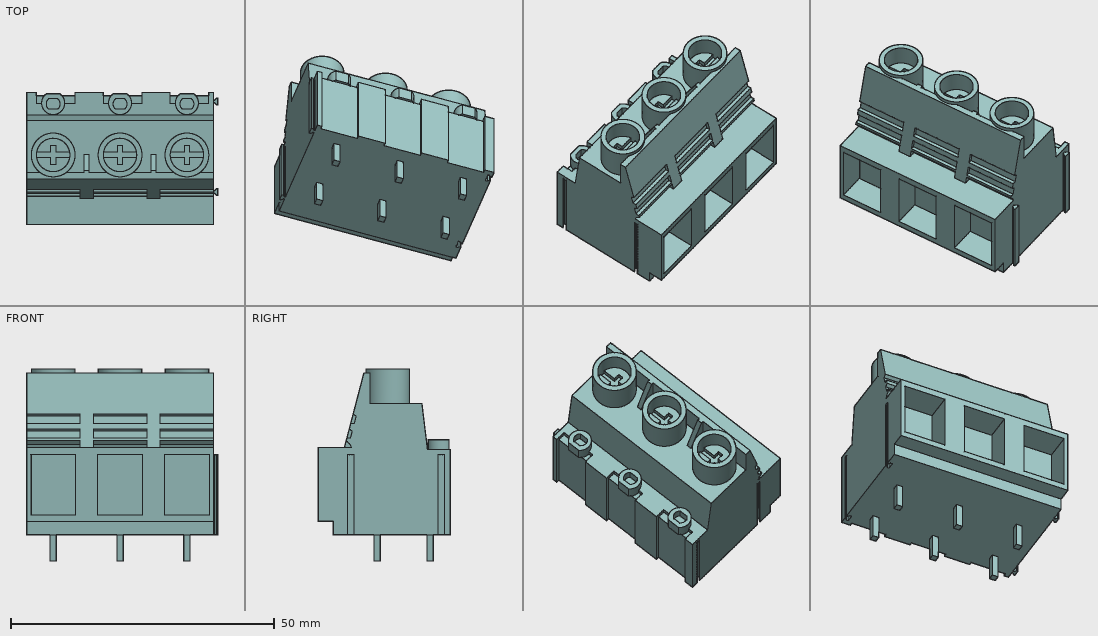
import cadquery as cq


POLE_COUNT = 3
POLE_PITCH = 12.7
POLE_XS = [(i - (POLE_COUNT - 1) / 2) * POLE_PITCH for i in range(POLE_COUNT)]
GAP_XS = [x + POLE_PITCH / 2 for x in POLE_XS[:-1]]

WIDTH = 35.5
DEPTH = 25.08
SIDE_X = WIDTH / 2
STEP_DEPTH = 2.85
STEP_HEIGHT = 2.55
FRONT_SHELF_Z = 16.6
RAMP_FOOT_Y = 4.95
WALL_TOP_Z = 30.75
WALL_FRONT_Y = 8.65
WALL_BACK_Y = 9.85
TOWER_Z = 24.93
TOWER_BACK_Y = 19.7
LEDGE_Z = 16.2
LEDGE_FRONT_Y = 20.77

WINDOW_WIDTH = 8.5
WINDOW_BOTTOM_Z = 3.8
WINDOW_TOP_Z = 15.22
WINDOW_DEPTH = 5.35

GROOVE_WIDTH = 10.15
GROOVE_DEPTH = 0.7
GROOVE_LIP_DROP = 0.45
GROOVE_SPANS = [(21.15, 22.95), (18.35, 20.1)]
FOOT_GROOVE_TOP_Z = 17.9
FOOT_GROOVE_BEND_Y = 6.05
FOOT_GROOVE_BEND_Z = 17.15
FOOT_GROOVE_BACK_Y = 6.28

TUBE_Y = 13.2
TUBE_RADIUS = 4.15
TUBE_TOP_Z = 31.5
BORE_RADIUS = 3.18

GUSSET_WIDTH = 1.0
GUSSET_TOP_DEPTH = 0.45
GUSSET_FOOT_Y = 13.3

RECESS_WIDTH = 7.3
RECESS_OFFSET = 0.47
RECESS_FRONT_Y = 23.0
RECESS_FLOOR_Z = 15.33
NOTCH_FRONT_Y = 24.45
BOSS_Y = 23.05
BOSS_RADIUS = 2.2
BOSS_FLAT_Y = 24.85
BOSS_TOP_Z = 18.05
TEST_HOLE_Y = 22.9
TEST_HOLE_RADIUS = 1.3
TEST_HOLE_FLATS_Y = (21.95, 23.95)

KEY_YS = [6.17, 23.35]
KEY_HEIGHT = 15.22
KEY_NECK_LENGTH = 0.2
KEY_FLARE = 0.35
KEY_TIP_LENGTH = 0.3
KEY_NECK_WIDTH = 0.55
KEYWAY_CLEARANCE = 0.07

SCREW_RECESS = 4.0
SCREW_TOP_Z = TUBE_TOP_Z - SCREW_RECESS
SCREW_BOTTOM_Z = TOWER_Z
SLOT_WIDTH = 1.05
CROSS_WIDTH = 1.0
CROSS_LENGTH = 3.55
SLOT_DEPTH = 1.0

PIN_YS = [11.17, 21.25]
PIN_SIDE = 1.25
PIN_LENGTH = 5.0


def box(x_center, width, y_range, z_range):
    """Box centred on x_center that spans the given Y and Z ranges."""
    y0, y1 = y_range
    z0, z1 = z_range
    return cq.Workplane("XY").box(width, y1 - y0, z1 - z0, centered=(True, False, False)).translate(
        (x_center, y0, z0)
    )


def extrude_along_x(points, x_center, width):
    """Prism along X with a closed (Y, Z) outline."""
    return cq.Workplane("YZ").polyline(points).close().extrude(width / 2, both=True).translate((x_center, 0, 0))


def cylinder(x, y, radius, bottom_z, top_z):
    """Upright cylinder between two heights."""
    return cq.Workplane("XY", origin=(x, y, bottom_z)).circle(radius).extrude(top_z - bottom_z)


def ramp_y(z):
    """Y of the sloped front of the tower at height z."""
    rise = (z - FRONT_SHELF_Z) / (WALL_TOP_Z - FRONT_SHELF_Z)
    return RAMP_FOOT_Y + rise * (WALL_FRONT_Y - RAMP_FOOT_Y)


def block():
    """Housing body without its details."""
    outline = [
        (STEP_DEPTH, 0),
        (STEP_DEPTH, STEP_HEIGHT),
        (0, STEP_HEIGHT),
        (0, FRONT_SHELF_Z),
        (RAMP_FOOT_Y, FRONT_SHELF_Z),
        (WALL_FRONT_Y, WALL_TOP_Z),
        (WALL_BACK_Y, WALL_TOP_Z),
        (WALL_BACK_Y, TOWER_Z),
        (TOWER_BACK_Y, TOWER_Z),
        (LEDGE_FRONT_Y, LEDGE_Z),
        (DEPTH, LEDGE_Z),
        (DEPTH, 0),
    ]
    return extrude_along_x(outline, 0, WIDTH)


def marker_groove(x, bottom_z, top_z):
    """Groove with a flat floor, a back parallel to the ramp and a roof that falls towards the back."""
    back_top_z = top_z - GROOVE_LIP_DROP
    outline = [
        (ramp_y(bottom_z), bottom_z),
        (ramp_y(top_z), top_z),
        (ramp_y(back_top_z) + GROOVE_DEPTH, back_top_z),
        (ramp_y(bottom_z) + GROOVE_DEPTH, bottom_z),
    ]
    return extrude_along_x(outline, x, GROOVE_WIDTH)


def foot_groove(x):
    """Groove that undercuts the foot of the ramp, down to the front shelf."""
    outline = [
        (RAMP_FOOT_Y, FRONT_SHELF_Z),
        (ramp_y(FOOT_GROOVE_TOP_Z), FOOT_GROOVE_TOP_Z),
        (FOOT_GROOVE_BEND_Y, FOOT_GROOVE_BEND_Z),
        (FOOT_GROOVE_BACK_Y, FRONT_SHELF_Z),
    ]
    return extrude_along_x(outline, x, GROOVE_WIDTH)


def gusset(x):
    """Sloped rib between the wall and the tower top."""
    outline = [
        (WALL_BACK_Y, TOWER_Z),
        (WALL_BACK_Y, WALL_TOP_Z),
        (WALL_BACK_Y + GUSSET_TOP_DEPTH, WALL_TOP_Z),
        (GUSSET_FOOT_Y, TOWER_Z),
    ]
    return extrude_along_x(outline, x, GUSSET_WIDTH)


def window(x):
    """Rectangular wire entry in the front face."""
    return box(x, WINDOW_WIDTH, (0, WINDOW_DEPTH), (WINDOW_BOTTOM_Z, WINDOW_TOP_Z))


def rear_recess(x):
    """Pocket in the rear ledge, plus a shallow notch down the whole rear face."""
    center = x + RECESS_OFFSET
    pocket = box(center, RECESS_WIDTH, (RECESS_FRONT_Y, DEPTH), (RECESS_FLOOR_Z, LEDGE_Z))
    notch = box(center, RECESS_WIDTH, (NOTCH_FRONT_Y, DEPTH), (0, LEDGE_Z))
    return pocket.union(notch)


def test_boss(x):
    """Round boss with a flat rear that stands on the recess floor."""
    boss = cylinder(x, BOSS_Y, BOSS_RADIUS, RECESS_FLOOR_Z, BOSS_TOP_Z)
    kept = box(x, 2 * BOSS_RADIUS, (BOSS_Y - BOSS_RADIUS, BOSS_FLAT_Y), (RECESS_FLOOR_Z, BOSS_TOP_Z))
    return boss.intersect(kept)


def test_hole(x):
    """Round blind hole with two flats, from the top of the boss down to the ledge level."""
    between_flats = box(x, 2 * TEST_HOLE_RADIUS, TEST_HOLE_FLATS_Y, (LEDGE_Z, BOSS_TOP_Z))
    return cylinder(x, TEST_HOLE_Y, TEST_HOLE_RADIUS, LEDGE_Z, BOSS_TOP_Z).intersect(between_flats)


def dovetail(x, y, clearance=0):
    """Upright dovetail that runs from x towards +X: straight neck, 45 degree flare, straight-sided tip."""
    neck_half = KEY_NECK_WIDTH / 2 + clearance
    tip_half = neck_half + KEY_FLARE
    neck_x = x + KEY_NECK_LENGTH
    flare_x = neck_x + KEY_FLARE
    tip_x = flare_x + KEY_TIP_LENGTH + clearance
    outline = [
        (x, y - neck_half),
        (neck_x, y - neck_half),
        (flare_x, y - tip_half),
        (tip_x, y - tip_half),
        (tip_x, y + tip_half),
        (flare_x, y + tip_half),
        (neck_x, y + neck_half),
        (x, y + neck_half),
    ]
    return cq.Workplane("XY").polyline(outline).close().extrude(KEY_HEIGHT)


def make_housing():
    """Housing with tubes, windows, grooves, recesses, bosses, keys and keyways."""
    body = block()
    for x in GAP_XS:
        body = body.union(gusset(x))
    for x in POLE_XS:
        body = body.union(cylinder(x, TUBE_Y, TUBE_RADIUS, TOWER_Z, TUBE_TOP_Z))
        body = body.cut(cylinder(x, TUBE_Y, BORE_RADIUS, SCREW_BOTTOM_Z, TUBE_TOP_Z))
        body = body.cut(window(x))
        for bottom_z, top_z in GROOVE_SPANS:
            body = body.cut(marker_groove(x, bottom_z, top_z))
        body = body.cut(foot_groove(x))
        body = body.cut(rear_recess(x))
        body = body.union(test_boss(x))
        body = body.cut(test_hole(x))
    for y in KEY_YS:
        body = body.union(dovetail(SIDE_X, y))
        body = body.cut(dovetail(-SIDE_X, y, KEYWAY_CLEARANCE))
    return body.solids()


def make_screw(x):
    """Headless screw that fills the bore, with a full slot and a shorter cross slot."""
    slot_z = (SCREW_TOP_Z - SLOT_DEPTH, SCREW_TOP_Z)
    slot = box(x, 2 * BORE_RADIUS, (TUBE_Y - SLOT_WIDTH / 2, TUBE_Y + SLOT_WIDTH / 2), slot_z)
    cross = box(x, CROSS_WIDTH, (TUBE_Y - CROSS_LENGTH / 2, TUBE_Y + CROSS_LENGTH / 2), slot_z)
    return cylinder(x, TUBE_Y, BORE_RADIUS, SCREW_BOTTOM_Z, SCREW_TOP_Z).cut(slot).cut(cross)


def make_pin(x, y):
    """Square solder pin below the housing."""
    return box(x, PIN_SIDE, (y - PIN_SIDE / 2, y + PIN_SIDE / 2), (-PIN_LENGTH, 0))


housing = make_housing()
screws = [make_screw(x).val() for x in POLE_XS]
pins = [make_pin(x, y).val() for x in POLE_XS for y in PIN_YS]

result = cq.Compound.makeCompound([housing.val(), *screws, *pins])